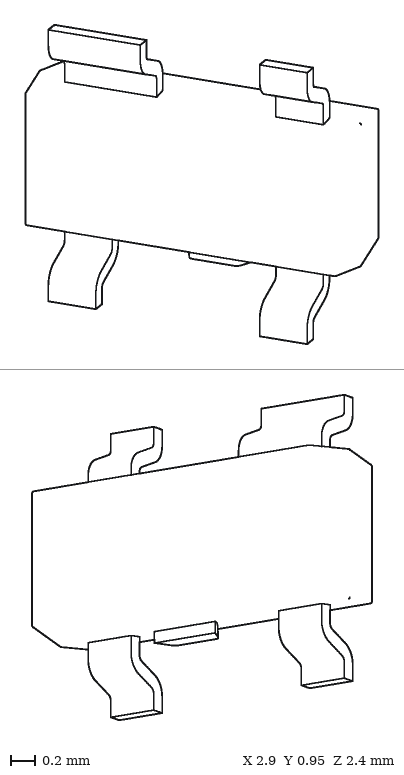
import cadquery as cq
import math


housing_length = 2.9
housing_height = 1.273
front_depth = 0.4
back_depth = 0.5
housing_draft = 7.0
housing_fillet = 0.02

overall_height = 2.4
overall_depth = 0.95
lead_thickness = 0.125
narrow_width = 0.43
wide_width = 0.83
lead_outer_x = 1.165
foot_length = 0.14
bend_angle = 67.5
bend_inner_radius = 0.05
lead_root_z = 0.435

stub_center_x = 0.2
stub_width = 0.605
stub_depth = 0.18
stub_end_z = -0.735
stub_root_z = -0.58
stub_draft = 25.0
stub_fillet = 0.05


def make_housing():
    """Block that tapers from the parting plane to both faces, with rounded edges."""
    parting_outline = cq.Workplane("XZ").rect(housing_length, housing_height)
    front_half = parting_outline.extrude(front_depth, taper=housing_draft)
    back_half = (
        cq.Workplane("XZ")
        .rect(housing_length, housing_height)
        .extrude(back_depth, taper=housing_draft)
        .mirror("XZ")
    )
    block = front_half.union(back_half)
    outer_edges = [edge for edge in block.edges().vals() if abs(edge.Center().y) > housing_fillet]
    return block.newObject(outer_edges).fillet(housing_fillet).solids()


def polar_point(center, radius, angle):
    """Point (y, z) at a signed radius and an angle in degrees around a centre."""
    turn = math.radians(angle)
    return center[0] + radius * math.cos(turn), center[1] + radius * math.sin(turn)


def lead_profile():
    """Closed gull-wing outline of an upper lead in the YZ plane."""
    outer_radius = bend_inner_radius + lead_thickness
    radius_sum = bend_inner_radius + outer_radius
    turn = math.radians(bend_angle)

    sole_y = back_depth - overall_depth
    instep_y = sole_y + lead_thickness
    end_z = overall_height / 2
    foot_bend_z = end_z - foot_length

    offset = -instep_y
    slant = (offset - radius_sum * (1 - math.cos(turn))) / math.sin(turn)
    shoulder_z = foot_bend_z - radius_sum * math.sin(turn) - slant * math.cos(turn)
    shoulder = (-outer_radius, shoulder_z)
    instep = (instep_y + bend_inner_radius, foot_bend_z)

    half = bend_angle / 2
    return (
        cq.Workplane("YZ")
        .moveTo(0, lead_root_z)
        .lineTo(0, shoulder_z)
        .threePointArc(
            polar_point(shoulder, outer_radius, half),
            polar_point(shoulder, outer_radius, bend_angle),
        )
        .lineTo(*polar_point(instep, -bend_inner_radius, bend_angle))
        .threePointArc(
            polar_point(instep, -bend_inner_radius, half),
            (instep_y, foot_bend_z),
        )
        .lineTo(instep_y, end_z)
        .lineTo(sole_y, end_z)
        .lineTo(sole_y, foot_bend_z)
        .threePointArc(
            polar_point(instep, -outer_radius, half),
            polar_point(instep, -outer_radius, bend_angle),
        )
        .lineTo(*polar_point(shoulder, bend_inner_radius, bend_angle))
        .threePointArc(
            polar_point(shoulder, bend_inner_radius, half),
            (-lead_thickness, shoulder_z),
        )
        .lineTo(-lead_thickness, lead_root_z)
        .close()
    )


def make_lead(left_x, width, is_upper, housing):
    """Lead that starts at the housing surface, above or below the housing."""
    lead = lead_profile().extrude(width).translate((left_x, 0, 0))
    if not is_upper:
        lead = lead.mirror("XY")
    return lead.cut(housing).solids()


def make_stub(housing):
    """Cut-off tie bar below the housing, with a sloping front and drafted sides."""
    slope = math.tan(math.radians(stub_draft))
    root_depth = stub_depth - slope * (stub_root_z - stub_end_z)
    front_half_width = stub_width / 2 - slope * stub_depth

    side_shape = (
        cq.Workplane("YZ")
        .polyline([
            (0, stub_end_z),
            (-stub_depth, stub_end_z),
            (-root_depth, stub_root_z),
            (0, stub_root_z),
        ])
        .close()
        .extrude(stub_width / 2, both=True)
    )
    plan_shape = (
        cq.Workplane("XY", origin=(0, 0, stub_end_z))
        .polyline([
            (-stub_width / 2, 0),
            (-front_half_width, -stub_depth),
            (front_half_width, -stub_depth),
            (stub_width / 2, 0),
        ])
        .close()
        .extrude(stub_root_z - stub_end_z)
    )
    stub = side_shape.intersect(plan_shape)
    front_corners = stub.faces("<Y").edges("not |X")
    stub = front_corners.fillet(stub_fillet)
    return stub.translate((stub_center_x, 0, 0)).cut(housing).solids()


housing = make_housing()

right_x = lead_outer_x - narrow_width
lead_places = [
    (-lead_outer_x, wide_width, True),
    (right_x, narrow_width, True),
    (-lead_outer_x, narrow_width, False),
    (right_x, narrow_width, False),
]
leads = [make_lead(left_x, width, is_upper, housing) for left_x, width, is_upper in lead_places]

stub = make_stub(housing)

result = cq.Compound.makeCompound([housing.val(), stub.val(), *[lead.val() for lead in leads]])